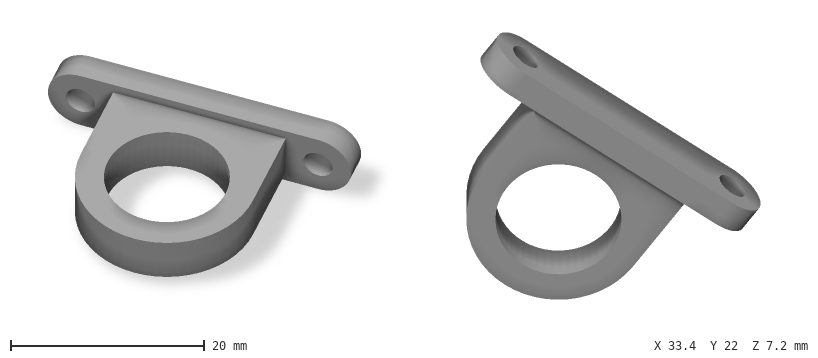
import cadquery as cq

plate_length = 33.4
plate_height = 7.2
plate_thickness = 3.0
screw_hole_diameter = 3.2
screw_hole_spacing = plate_length - plate_height

total_depth = 22.0
lug_width = 19.0
lug_thickness = 5.0
bore_diameter = 13.0
lug_radius = lug_width / 2
lug_reach = total_depth - plate_thickness
bore_y = lug_radius - lug_reach


def make_plate():
    """Slot-shaped plate with a screw hole at the centre of each rounded end."""
    return (
        cq.Workplane("XZ")
        .slot2D(plate_length, plate_height)
        .pushPoints([(-screw_hole_spacing / 2, 0), (screw_hole_spacing / 2, 0)])
        .circle(screw_hole_diameter / 2)
        .extrude(-plate_thickness)
    )


def make_lug():
    """Flat lug with a full-round tip and a bore concentric with it."""
    return (
        cq.Workplane("XY")
        .moveTo(-lug_radius, 0)
        .lineTo(-lug_radius, bore_y)
        .threePointArc((0, -lug_reach), (lug_radius, bore_y))
        .lineTo(lug_radius, 0)
        .close()
        .moveTo(0, bore_y)
        .circle(bore_diameter / 2)
        .extrude(lug_thickness / 2, both=True)
    )


result = make_plate().union(make_lug())